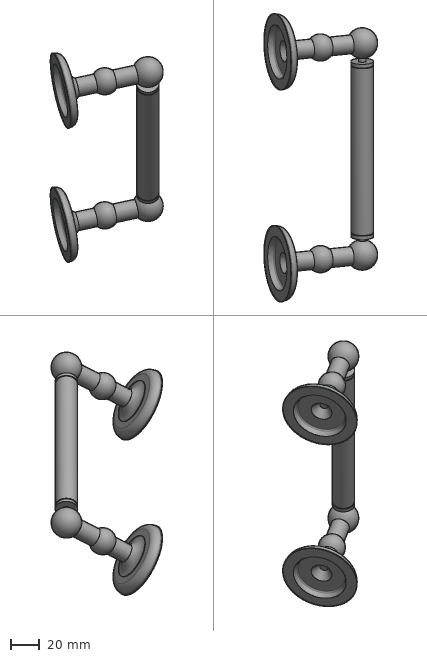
import cadquery as cq
import math

overall_height = 208.2
flange_radius = 26.95
post_z = overall_height / 2 - flange_radius
bar_y = 63.5

rim_thickness = 0.5
shoulder_radius = 26.6
shoulder_round = 5.6
flange_thickness = 6.9
neck_base_radius = 15.8
neck_base_y = 7.3
neck_waist = (10.5, 8.5)
neck_top_y = 11.9

post_radius = 6.7
end_ball_radius = 10.8
middle_ball_radius = 9.5
middle_ball_y = 32.3

recess_mouth_radius = 19.2
recess_wall_radius = 17.7
recess_depth = 4.8
recess_corner_radius = 0.8
seat_mouth_radius = 7.5
seat_floor_radius = 3.0
seat_depth = 6.2

bar_radius = 8.0
bar_half_length = 64.0
pin_radius = 2.7
groove_inset = 3.0
groove_width = 0.5
groove_depth = 0.2


def ball(radius, y):
    return cq.Workplane("XY").sphere(radius).translate((0, y, 0))


def turned_post():
    """Flange, flared neck and shaft turned about the Y axis."""
    round_start = flange_thickness - shoulder_round
    round_inner = shoulder_radius - shoulder_round
    diagonal = shoulder_round * math.sqrt(0.5)
    return (
        cq.Workplane("XY")
        .lineTo(flange_radius, 0)
        .lineTo(flange_radius, rim_thickness)
        .lineTo(shoulder_radius, rim_thickness)
        .lineTo(shoulder_radius, round_start)
        .threePointArc(
            (round_inner + diagonal, round_start + diagonal),
            (round_inner, flange_thickness),
        )
        .lineTo(neck_base_radius, flange_thickness)
        .lineTo(neck_base_radius, neck_base_y)
        .threePointArc(neck_waist, (post_radius, neck_top_y))
        .lineTo(post_radius, bar_y)
        .lineTo(0, bar_y)
        .close()
        .revolve(360, (0, 0, 0), (0, 1, 0))
    )


def wall_recess():
    """Tapered recess with a rounded floor corner, and screw seat, turned about the Y axis."""
    corner_start = recess_depth - recess_corner_radius
    recess_floor_radius = recess_wall_radius - recess_corner_radius
    diagonal = recess_corner_radius * math.sqrt(0.5)
    seat_floor_y = recess_depth + seat_depth
    return (
        cq.Workplane("XY")
        .lineTo(recess_mouth_radius, 0)
        .lineTo(recess_wall_radius, corner_start)
        .threePointArc(
            (recess_floor_radius + diagonal, corner_start + diagonal),
            (recess_floor_radius, recess_depth),
        )
        .lineTo(seat_mouth_radius, recess_depth)
        .lineTo(seat_floor_radius, seat_floor_y)
        .lineTo(0, seat_floor_y)
        .close()
        .revolve(360, (0, 0, 0), (0, 1, 0))
    )


def post():
    return (
        turned_post()
        .union(ball(middle_ball_radius, middle_ball_y))
        .union(ball(end_ball_radius, bar_y))
        .cut(wall_recess())
    )


def z_cylinder(radius, half_length):
    return cq.Workplane("XY").circle(radius).extrude(half_length, both=True).translate((0, bar_y, 0))


def groove(z):
    ring = (
        cq.Workplane("XY")
        .circle(bar_radius + groove_depth)
        .circle(bar_radius - groove_depth)
        .extrude(groove_width / 2, both=True)
    )
    return ring.translate((0, bar_y, z))


result = z_cylinder(bar_radius, bar_half_length).union(z_cylinder(pin_radius, post_z))
for side in (-1, 1):
    result = result.union(post().translate((0, 0, side * post_z)))
    result = result.cut(groove(side * (bar_half_length - groove_inset)))